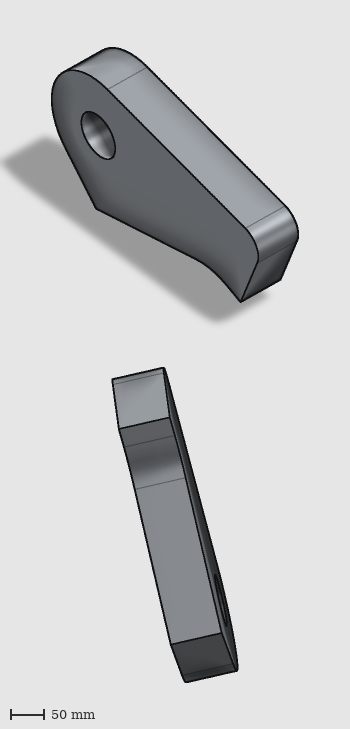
import cadquery as cq
import math

thickness = 79.5
hub_radius = 109.5
bore_diameter = 79.5

heel = (-5.5, -151.5)
toe = (333.0, -112.0)

top_angle = -10.9
belly_angle = 13.4
toe_angle = -20.3
nose_angle = toe_angle + 90

nose_radius = 38.5
belly_radius = 121.0


def line_crossing(point_a, angle_a, point_b, angle_b):
    """Point where two lines, each given by a point and a slope angle, cross."""
    a = math.radians(angle_a)
    b = math.radians(angle_b)
    dx = point_b[0] - point_a[0]
    dz = point_b[1] - point_a[1]
    distance = (dx * math.sin(b) - dz * math.cos(b)) / math.sin(b - a)
    return (point_a[0] + distance * math.cos(a), point_a[1] + distance * math.sin(a))


def hub_point(angle):
    """Point on the hub circle at an angle in degrees from +X."""
    a = math.radians(angle)
    return (hub_radius * math.cos(a), hub_radius * math.sin(a))


top_tangent_angle = 90 + top_angle
heel_direction = math.degrees(math.atan2(heel[1], heel[0])) % 360
heel_tangent_angle = heel_direction - math.degrees(math.acos(hub_radius / math.hypot(*heel)))
top_tangent = hub_point(top_tangent_angle)
heel_tangent = hub_point(heel_tangent_angle)
hub_middle = hub_point((top_tangent_angle + heel_tangent_angle) / 2)

nose = line_crossing(top_tangent, top_angle, toe, nose_angle)
belly = line_crossing(heel, belly_angle, toe, toe_angle)

plate = (
    cq.Workplane("XZ")
    .moveTo(*top_tangent)
    .lineTo(*nose)
    .lineTo(*toe)
    .lineTo(*belly)
    .lineTo(*heel)
    .lineTo(*heel_tangent)
    .threePointArc(hub_middle, top_tangent)
    .close()
    .extrude(thickness / 2, both=True)
)


def round_corner(body, corner, radius):
    """Fillet the edge along Y that passes through an outline corner."""
    nearest = cq.selectors.NearestToPointSelector((corner[0], 0, corner[1]))
    return body.edges("|Y").edges(nearest).fillet(radius)


plate = round_corner(plate, nose, nose_radius)
plate = round_corner(plate, belly, belly_radius)

bore = (
    cq.Workplane("XZ", origin=(0, thickness / 2, 0))
    .circle(bore_diameter / 2)
    .extrude(thickness)
)
result = plate.cut(bore)